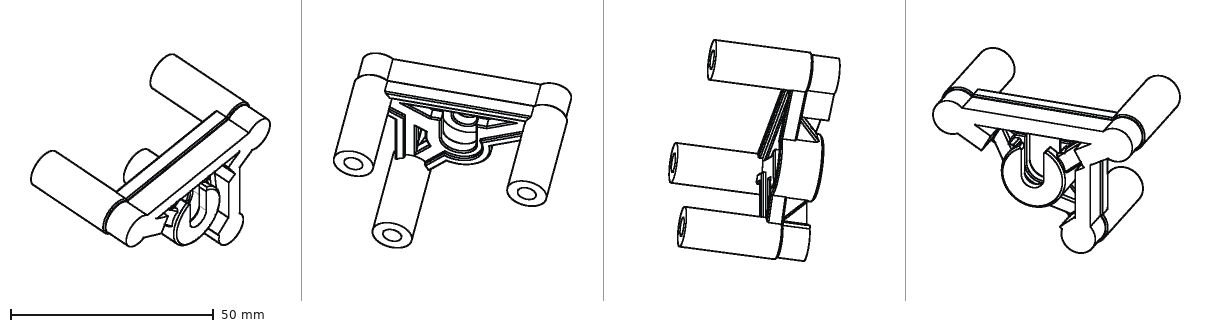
import cadquery as cq
import math


RIM_FRONT = 20.45
FLOOR_FRONT = 21.5
PLATE_BACK = 24.45
STAND_GAP = 0.1
STAND_FRONT = PLATE_BACK + STAND_GAP
FLANGE_FRONT = 28.75
FOOT = 31.4

UPPER_Y = 21.9
UPPER_LEFT = (UPPER_Y, 0)
UPPER_RIGHT = (-UPPER_Y, 0)
LOWER_POST = (12.1, -26.7)
POSTS = [UPPER_LEFT, UPPER_RIGHT, LOWER_POST]
HUB_CENTER = (0, -12.45)

POST_RADIUS = 5.0
SCREW_RADIUS = 4.7 / 2
SCREW_DEPTH = 19.9
FINE_BORE_RADIUS = 0.2

BEAM_WIDTH = 5.0
BAR_TOP = 3.65
BAR_BOTTOM = BAR_TOP - BEAM_WIDTH
LEG_OUTSIDE = 15.8
LEG_INSIDE = LEG_OUTSIDE - BEAM_WIDTH
ARM_HALF_WIDTH = 3.0
HUB_RADIUS = 8.45
HUB_TOP = -4.95
RIM_WIDTH = 2.35
EDGE = 0.4

SLOT_RADIUS = 4.4
POCKET_RADIUS = 5.7
POCKET_TOP = -6.05
POCKET_TOP_HALF_WIDTH = 7.45
POCKET_LIP = 0.5
FLANGE_SLOT_RADIUS = 2.95
FLANGE_TOP = -4.85
FLANGE_LIP = 0.7
HUB_FOOT_CHAMFER = 0.55

GUSSET_REACH = 13.9
GUSSET_CHAMFER = 0.55

STAND_INSET = 0.5
STUB_TO_HUB = 14.15



def prism(points, x_start, x_end):
    """Polygon in the YZ plane, extruded along X."""
    base = cq.Workplane("YZ", origin=(x_start, 0, 0))
    return base.polyline(points).close().extrude(x_end - x_start)


def cylinder(center, radius, x_start, x_end):
    """Round bar along X."""
    base = cq.Workplane("YZ", origin=(x_start, 0, 0))
    return base.center(*center).circle(radius).extrude(x_end - x_start)


def slot(radius, x_start, x_end):
    """U-shaped cutter around the hub axis, open upwards as far as the bar."""
    center_y, center_z = HUB_CENTER
    base = cq.Workplane("YZ", origin=(x_start, 0, 0))
    outline = (
        base.moveTo(center_y - radius, center_z)
        .threePointArc((center_y, center_z - radius), (center_y + radius, center_z))
        .lineTo(center_y + radius, BAR_BOTTOM)
        .lineTo(center_y - radius, BAR_BOTTOM)
        .close()
    )
    return outline.extrude(x_end - x_start)


def slot_lip(radius, top, size, x_start, x_end):
    """V-shaped cutter that bevels both upper edges of a slot at 45 degrees."""
    wide = radius + size
    return prism([(-wide, top), (0, top - wide), (wide, top), (wide, 0), (-wide, 0)], x_start, x_end)


def arm_length(post):
    return math.dist(post, HUB_CENTER)


def arm_direction(post):
    """Unit direction from a post to the hub axis."""
    length = arm_length(post)
    return (HUB_CENTER[0] - post[0]) / length, (HUB_CENTER[1] - post[1]) / length


def arm_point(post, along, left):
    """Point at a distance along the arm from its post and at an offset to its left."""
    uy, uz = arm_direction(post)
    return post[0] + along * uy - left * uz, post[1] + along * uz + left * uy


def arm_z_at_y(post, left, y):
    """Height where a line beside the arm's centre line crosses a given Y."""
    uy, uz = arm_direction(post)
    start_y, start_z = arm_point(post, 0, left)
    return start_z + (y - start_y) * uz / uy


def arm_y_at_z(post, left, z):
    """Y where a line beside the arm's centre line crosses a given height."""
    uy, uz = arm_direction(post)
    start_y, start_z = arm_point(post, 0, left)
    return start_y + (z - start_z) * uy / uz



def plate_blank(inset, x_start, x_end):
    """Outer shape of the plate without openings, moved inwards by an inset."""
    half = ARM_HALF_WIDTH - inset
    top = BAR_TOP - inset
    leg = LEG_OUTSIDE - inset
    points = [
        (-UPPER_Y, top),
        UPPER_RIGHT,
        arm_point(UPPER_RIGHT, 0, -half),
        arm_point(UPPER_RIGHT, arm_length(UPPER_RIGHT), -half),
        HUB_CENTER,
        arm_point(LOWER_POST, arm_length(LOWER_POST), half),
        arm_point(LOWER_POST, 0, half),
        LOWER_POST,
        (leg, LOWER_POST[1]),
        (leg, arm_z_at_y(UPPER_LEFT, half, leg)),
        arm_point(UPPER_LEFT, 0, half),
        UPPER_LEFT,
        (UPPER_Y, top),
    ]
    hub = cylinder(HUB_CENTER, HUB_RADIUS - inset, x_start, x_end)
    return prism(points, x_start, x_end).union(hub)


def upper_window():
    """Opening between the bar, the two upper arms and the top of the hub."""
    wide = arm_y_at_z(UPPER_LEFT, -ARM_HALF_WIDTH, BAR_BOTTOM)
    narrow = arm_y_at_z(UPPER_LEFT, -ARM_HALF_WIDTH, HUB_TOP)
    points = [(wide, BAR_BOTTOM), (narrow, HUB_TOP), (-narrow, HUB_TOP), (-wide, BAR_BOTTOM)]
    return prism(points, RIM_FRONT, PLATE_BACK)


def side_window():
    """Opening between the leg, the upper left arm, the hub and the lower arm."""
    half = ARM_HALF_WIDTH
    points = [
        (LEG_INSIDE, arm_z_at_y(UPPER_LEFT, half, LEG_INSIDE)),
        arm_point(UPPER_LEFT, arm_length(UPPER_LEFT), half),
        arm_point(LOWER_POST, arm_length(LOWER_POST), -half),
        (LEG_INSIDE, arm_z_at_y(LOWER_POST, -half, LEG_INSIDE)),
    ]
    hub = cylinder(HUB_CENTER, HUB_RADIUS, RIM_FRONT, PLATE_BACK)
    return prism(points, RIM_FRONT, PLATE_BACK).cut(hub)


def make_plate():
    """Plate with a raised rim, two windows and the hub slot, all edges bevelled."""
    recess = plate_blank(RIM_WIDTH, RIM_FRONT, FLOOR_FRONT)
    plate = plate_blank(0, RIM_FRONT, PLATE_BACK).cut(recess)
    plate = plate.faces("<X").edges().chamfer(EDGE)
    plate = plate.cut(upper_window()).cut(side_window())
    plate = plate.cut(slot(SLOT_RADIUS, RIM_FRONT, PLATE_BACK))
    second_along_x = cq.selectors.DirectionNthSelector(cq.Vector(1, 0, 0), 1)
    floor = plate.faces("|X").faces(second_along_x).val()
    opening_edges = [edge for wire in floor.innerWires() for edge in wire.Edges()]
    plate = plate.newObject(opening_edges).chamfer(EDGE)
    return plate.faces(">X").edges().chamfer(EDGE)



def make_gusset(post):
    """Rib behind an arm that rises at 45 degrees from the plate towards the hub."""
    uy, uz = arm_direction(post)
    rise = FOOT - PLATE_BACK
    plane = cq.Plane(origin=(PLATE_BACK, *HUB_CENTER), xDir=(0, -uy, -uz), normal=(0, -uz, uy))
    profile = [
        (0, -EDGE),
        (GUSSET_REACH, -EDGE),
        (GUSSET_REACH, 0),
        (GUSSET_REACH - rise, rise),
        (0, rise),
    ]
    rib = cq.Workplane(plane).polyline(profile).close().extrude(ARM_HALF_WIDTH - EDGE, both=True)
    slope = cq.selectors.ParallelDirSelector(cq.Vector(1, uy, uz))
    return rib.edges(slope).chamfer(GUSSET_CHAMFER)


def make_hub():
    """Hub behind the plate with its gussets, pocket and foot flange."""
    hub = cylinder(HUB_CENTER, HUB_RADIUS, PLATE_BACK - EDGE, FOOT)
    hub = hub.faces(">X").chamfer(HUB_FOOT_CHAMFER)
    for post in POSTS:
        hub = hub.union(make_gusset(post))

    side = POCKET_TOP_HALF_WIDTH
    notch = [(-side, POCKET_TOP), (side, POCKET_TOP), (side, BAR_BOTTOM), (-side, BAR_BOTTOM)]
    hub = hub.cut(prism(notch, RIM_FRONT, FLANGE_FRONT))
    hub = hub.cut(slot(POCKET_RADIUS, RIM_FRONT, FLANGE_FRONT))
    hub = hub.cut(slot_lip(POCKET_RADIUS, POCKET_TOP, POCKET_LIP, RIM_FRONT, FLANGE_FRONT))

    flange_slot = slot(FLANGE_SLOT_RADIUS, FLANGE_FRONT, FOOT)
    countersink = slot(FLANGE_SLOT_RADIUS + EDGE, FLANGE_FRONT - EDGE, FLANGE_FRONT + EDGE)
    countersink = countersink.faces(">X").edges().chamfer(EDGE)
    hub = hub.cut(flange_slot).cut(countersink)
    return hub.cut(slot_lip(FLANGE_SLOT_RADIUS, FLANGE_TOP, FLANGE_LIP, FLANGE_FRONT, FOOT))



def screw_hole(post):
    """Blind hole with a 45-degree conical end and a fine bore through to the plate's back."""
    hole = cylinder(post, SCREW_RADIUS, 0, SCREW_DEPTH)
    tip = cq.Solid.makeCone(SCREW_RADIUS, 0, SCREW_RADIUS, cq.Vector(SCREW_DEPTH, *post), cq.Vector(1, 0, 0))
    fine_bore = cylinder(post, FINE_BORE_RADIUS, SCREW_DEPTH, PLATE_BACK)
    return hole.union(cq.Workplane(tip)).union(fine_bore)


def make_bracket():
    """Plate, hub and three drilled posts in one piece."""
    bracket = make_plate().union(make_hub())
    for post in POSTS:
        bracket = bracket.union(cylinder(post, POST_RADIUS, 0, PLATE_BACK).faces(">X").chamfer(EDGE))
    for post in POSTS:
        bracket = bracket.cut(screw_hole(post))
    return bracket


def stand_beam(points):
    return prism(points, STAND_FRONT, FOOT)


def make_stand():
    """Open frame below the plate: a boss per post, the bar, the leg and three arm stubs."""
    half = ARM_HALF_WIDTH - STAND_INSET
    top = BAR_TOP - STAND_INSET
    bottom = BAR_BOTTOM + STAND_INSET
    outside = LEG_OUTSIDE - STAND_INSET
    inside = LEG_INSIDE + STAND_INSET

    stand = stand_beam([(-UPPER_Y, bottom), (UPPER_Y, bottom), (UPPER_Y, top), (-UPPER_Y, top)])
    leg = [
        (outside, LOWER_POST[1]),
        (outside, arm_z_at_y(UPPER_LEFT, half, outside)),
        (inside, arm_z_at_y(UPPER_LEFT, half, inside)),
        (inside, LOWER_POST[1]),
    ]
    for post in POSTS:
        stub_end = arm_length(post) - STUB_TO_HUB
        stub = [
            arm_point(post, 0, half),
            arm_point(post, stub_end, half),
            arm_point(post, stub_end, -half),
            arm_point(post, 0, -half),
        ]
        stand = stand.union(stand_beam(stub))
        stand = stand.union(cylinder(post, POST_RADIUS - STAND_INSET, STAND_FRONT, FOOT))
    return stand.union(stand_beam(leg))


bracket = make_bracket()
stand = make_stand()
result = cq.Compound.makeCompound([bracket.val(), stand.val()])